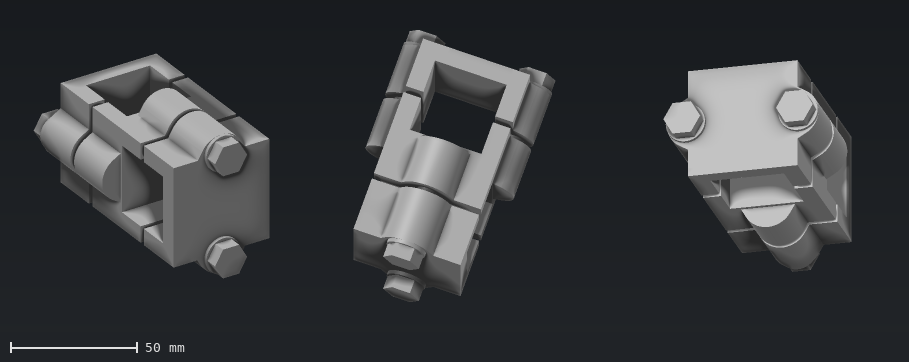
import cadquery as cq
import math

overall_length = 96.8
overall_width = 62.0

shank_diameter = 8.0
washer_diameter = 16.0
washer_thickness = 1.55
head_height = 5.5
head_across_flats = 13.0
head_across_corners = head_across_flats / math.cos(math.radians(30))
bolt_offset = (overall_width - washer_diameter) / 2

block_side = 44.7
block_half = block_side / 2
block_length = overall_length - 2 * (head_height + washer_thickness)

window_side = 30.0

crown_radius = 10.5
crown_half_angle = math.radians(60)
crown_top = overall_width / 2
crown_center = crown_top - crown_radius
flank_top_half_width = crown_radius * math.sin(crown_half_angle)
flank_top = crown_center + crown_radius * math.cos(crown_half_angle)
flank_run = (flank_top - block_half) / math.tan(crown_half_angle)
lug_base_half_width = flank_top_half_width + flank_run

left_wall = 7.0
left_jaw = 20.6
left_slit = 2.6
left_lug = 2 * left_jaw + left_slit

right_wall = 7.8
right_jaw = 21.9
right_slit = 2.3
right_lug = 43.9




def on_both_sides(side_part):
    """Join a part on the +Y side with its copy on the -Y side."""
    return side_part.union(side_part.mirror("XZ"))


def lug(length):
    return (
        cq.Workplane("YZ")
        .moveTo(block_half, -lug_base_half_width)
        .lineTo(flank_top, -flank_top_half_width)
        .threePointArc((crown_top, 0), (flank_top, flank_top_half_width))
        .lineTo(block_half, lug_base_half_width)
        .close()
        .extrude(length)
    )


def bolt(shank_length, head_turn):
    """Bolt entering from the outer face; head_turn rotates the hexagon about its axis."""
    shank = cq.Workplane("YZ").circle(shank_diameter / 2).extrude(shank_length)
    washer = cq.Workplane("YZ").circle(washer_diameter / 2).extrude(-washer_thickness)
    head = (
        cq.Workplane("YZ", origin=(-washer_thickness, 0, 0))
        .polygon(6, head_across_corners)
        .extrude(-head_height)
        .rotate((0, 0, 0), (1, 0, 0), head_turn)
    )
    return shank.union(washer).union(head).translate((0, bolt_offset, 0))


def clamp_opening(wall, jaw, slit):
    """Square tube window plus the slit that splits the clamp into two jaws."""
    window = cq.Workplane("XY").box(
        window_side, window_side, block_side, centered=(False, True, True)
    ).translate((wall, 0, 0))
    slit_cut = cq.Workplane("XY").box(
        slit, overall_width, overall_width, centered=(False, True, True)
    ).translate((jaw, 0, 0))
    return window.union(slit_cut)


def place_left(feature):
    return feature.translate((-block_length / 2, 0, 0))


def place_right(feature):
    """Turn a clamp feature to the +X end with its lugs on the Z sides."""
    turned = feature.mirror("YZ").rotate((0, 0, 0), (1, 0, 0), 90)
    return turned.translate((block_length / 2, 0, 0))


block = cq.Workplane("XY").box(block_length, block_side, block_side)

body = (
    block
    .union(place_left(on_both_sides(lug(left_lug))))
    .union(place_right(on_both_sides(lug(right_lug))))
    .cut(place_left(clamp_opening(left_wall, left_jaw, left_slit)))
    .cut(place_right(clamp_opening(right_wall, right_jaw, right_slit)))
)

left_shank = (left_jaw + left_slit + left_lug) / 2
right_shank = (right_jaw + right_slit + right_lug) / 2
result = (
    body
    .union(place_left(on_both_sides(bolt(left_shank, 0))))
    .union(place_right(on_both_sides(bolt(right_shank, 90))))
)